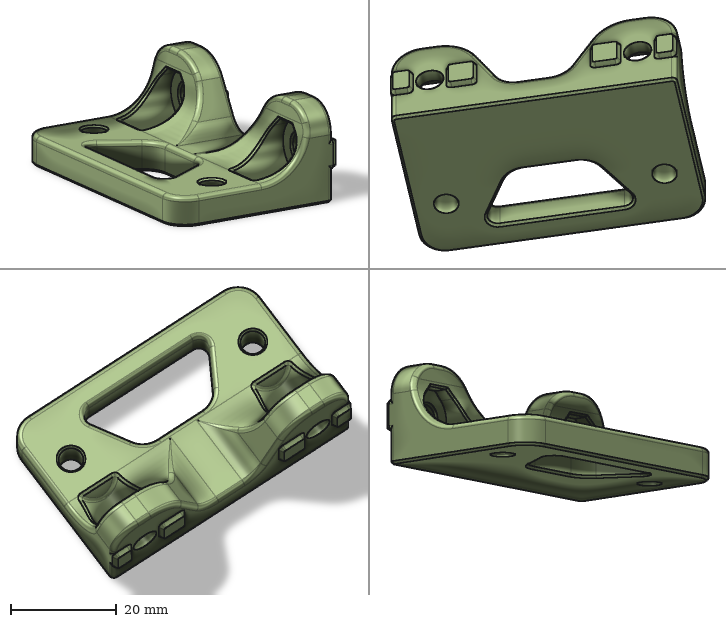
import cadquery as cq
import math

width = 55.0
depth = 35.0
plate_height = 6.0
total_height = 19.5
front_corner_radius = 5.0
edge_radius = 1.0
bottom_chamfer = 0.5
half_width = width / 2

ear_thickness = 6.0
cove_radius = 10.0
ear_front = depth - ear_thickness
cove_start = ear_front - cove_radius
ear_outer_radius = 6.0
ear_inner_radius = 8.5
ear_inner_flat_end = 18.6
valley_half_width = 3.0
valley_radius = 5.0
ear_rounding_end = 3.3
flank_angle = math.radians(60)

ear_hole_x = 20.0
ear_hole_z = 9.5
ear_hole_diameter = 5.3
pocket_radius = 5.5
pocket_floor = 32.0
pocket_ramp_start = 19.25
pocket_ramp_radius = 1.0
rim_chamfer = 0.4

plate_hole_x = 21.0
plate_hole_y = 12.0
plate_hole_diameter = 4.7

window_front = 5.0
window_back = 17.9
window_front_half_flat = 12.0
window_front_radius = 2.0
window_back_radius = 5.0

tab_height = 1.0
tab_taper = 30.0
tab_half_width = 3.08
tab_corner_radius = 1.0
tab_gap = 3.2
inner_tab_end = 9.1
outer_tab_end = half_width - ear_hole_x


def mirrored(half):
    """Join a shape on the -X side with its mirror image on the +X side."""
    return half.union(half.mirror("YZ"))


def side_profile():
    """Plate, concave sweep and upright, extruded over the full width."""
    arc_drop = cove_radius * math.sqrt(0.5)
    cove_middle = (cove_start + arc_drop, plate_height + cove_radius - arc_drop)
    return (
        cq.Workplane("YZ", origin=(-half_width, 0, 0))
        .lineTo(depth, 0)
        .lineTo(depth, total_height)
        .lineTo(ear_front, total_height)
        .lineTo(ear_front, plate_height + cove_radius)
        .threePointArc(cove_middle, (cove_start, plate_height))
        .lineTo(0, plate_height)
        .close()
        .extrude(width)
    )


def half_silhouette():
    """Outline of one ear with half of the valley, extruded over the full depth."""
    sine, cosine = math.sin(flank_angle), math.cos(flank_angle)
    half_sine, half_cosine = math.sin(flank_angle / 2), math.cos(flank_angle / 2)
    outer_center = (-half_width + ear_outer_radius, total_height - ear_outer_radius)
    inner_center = (-ear_inner_flat_end, total_height - ear_inner_radius)
    valley_center = (-valley_half_width, plate_height + valley_radius)

    outer_middle = (
        outer_center[0] - ear_outer_radius * math.sqrt(0.5),
        outer_center[1] + ear_outer_radius * math.sqrt(0.5),
    )
    inner_middle = (
        inner_center[0] + ear_inner_radius * half_sine,
        inner_center[1] + ear_inner_radius * half_cosine,
    )
    flank_top = (
        inner_center[0] + ear_inner_radius * sine,
        inner_center[1] + ear_inner_radius * cosine,
    )
    flank_bottom = (
        valley_center[0] - valley_radius * sine,
        valley_center[1] - valley_radius * cosine,
    )
    valley_middle = (
        valley_center[0] - valley_radius * half_sine,
        valley_center[1] - valley_radius * half_cosine,
    )
    return (
        cq.Workplane("XZ")
        .lineTo(-half_width, 0)
        .lineTo(-half_width, outer_center[1])
        .threePointArc(outer_middle, (outer_center[0], total_height))
        .lineTo(-ear_inner_flat_end, total_height)
        .threePointArc(inner_middle, flank_top)
        .lineTo(*flank_bottom)
        .threePointArc(valley_middle, (-valley_half_width, plate_height))
        .lineTo(0, plate_height)
        .close()
        .extrude(-depth)
    )


def plain_body():
    """Sharp-edged plate and ears, with only the front corners rounded."""
    block = side_profile().intersect(mirrored(half_silhouette())).clean()
    return block.edges("|Z and <Y").fillet(front_corner_radius)


def box_between(low, high):
    """Axis-aligned box between two opposite corners."""
    size = [b - a for a, b in zip(low, high)]
    return cq.Workplane(origin=low).box(*size, centered=False)


def edge_near(x, y, z):
    """Selector for the edge with its middle nearest to a point."""
    return cq.NearestToPointSelector((x, y, z))


def round_front_edges(block):
    """Round the plate rim and the front of the ears.

    The ear rounding fades out where the valley and the sweep run level into the plate,
    so each side is rounded on its own up to there and the strip between is rounded
    along its front only.
    """
    side_box = box_between((-half_width, 0, 0), (-ear_rounding_end, depth, total_height))
    strip_box = box_between((-ear_rounding_end, 0, 0), (ear_rounding_end, depth, total_height))

    side = block.intersect(side_box)
    side = side.edges(edge_near(-half_width, cove_start / 2, plate_height)).fillet(edge_radius)
    strip = block.intersect(strip_box)
    strip = strip.edges(edge_near(0, 0, plate_height)).fillet(edge_radius)
    return mirrored(side).union(strip).clean()


def round_back_edges(block):
    """Round the outline of the back face, except along the bottom."""
    return block.edges(">Y").edges("not <Z").fillet(edge_radius)


def add_window(block):
    """Trapezoidal opening with rounded corners and a rounded top rim."""
    front_half = window_front_half_flat + window_front_radius / math.tan(flank_angle / 2)
    back_half = front_half - (window_back - window_front) / math.tan(flank_angle)
    opening = (
        cq.Workplane()
        .polyline(
            [
                (-front_half, window_front),
                (front_half, window_front),
                (back_half, window_back),
                (-back_half, window_back),
            ]
        )
        .close()
        .extrude(plate_height)
        .edges("|Z and <Y")
        .fillet(window_front_radius)
        .edges("|Z and >Y")
        .fillet(window_back_radius)
    )
    block = block.cut(opening)
    return block.edges(edge_near(0, window_front, plate_height)).fillet(edge_radius)


def chamfered_drill(radius, length):
    """Upright drill from the origin, widened by the rim chamfer at its upper end."""
    return (
        cq.Workplane("XZ")
        .lineTo(radius, 0)
        .lineTo(radius, length - rim_chamfer)
        .lineTo(radius + rim_chamfer, length)
        .lineTo(0, length)
        .close()
        .revolve(360, (0, 0), (0, 1))
    )


def add_plate_holes(block):
    """Two vertical bolt holes, chamfered at the top."""
    for x in (-plate_hole_x, plate_hole_x):
        drill = chamfered_drill(plate_hole_diameter / 2, plate_height)
        block = block.cut(drill.translate((x, plate_hole_y, 0)))
    return block


def cut_left_pocket(block):
    """Cut the teardrop pocket in front of the left ear hole.

    A round bore ends in a 45 degree ramp up to the plate top, and a flat-topped
    roof with 45 degree sides sits on the bore.
    """
    ramp_bottom_y = pocket_ramp_start + plate_height - (ear_hole_z - pocket_radius)
    ramp_top_y = ramp_bottom_y - 2 * pocket_radius
    bore = (
        cq.Workplane("XZ", origin=(-ear_hole_x, pocket_floor, ear_hole_z))
        .circle(pocket_radius)
        .extrude(pocket_floor - ramp_top_y)
    )
    under_ramp = (
        cq.Workplane("YZ", origin=(-half_width, 0, ear_hole_z))
        .moveTo(ramp_bottom_y, -pocket_radius)
        .lineTo(ramp_top_y, pocket_radius)
        .lineTo(ramp_top_y, -pocket_radius)
        .close()
        .extrude(half_width)
    )
    ramp_foot = edge_near(-ear_hole_x, ramp_bottom_y, ear_hole_z - pocket_radius)
    bore = bore.cut(under_ramp).edges(ramp_foot).fillet(pocket_ramp_radius)

    tangent_offset = pocket_radius * math.sqrt(0.5)
    roof_half = pocket_radius * (math.sqrt(2) - 1)
    roof = (
        cq.Workplane("XZ", origin=(-ear_hole_x, pocket_floor, ear_hole_z))
        .lineTo(-tangent_offset, tangent_offset)
        .lineTo(-roof_half, pocket_radius)
        .lineTo(roof_half, pocket_radius)
        .lineTo(tangent_offset, tangent_offset)
        .close()
        .extrude(pocket_floor - cove_start)
    )
    block = block.cut(bore).cut(roof)

    lip_below_center = plate_height + cove_radius - ear_hole_z - pocket_radius
    roof_lip_y = cove_start + math.sqrt(cove_radius**2 - lip_below_center**2)
    ramp_lip = edge_near(-ear_hole_x, pocket_ramp_start, plate_height)
    roof_lip = edge_near(-ear_hole_x, roof_lip_y, ear_hole_z + pocket_radius)
    return block.edges(ramp_lip + roof_lip).chamfer(rim_chamfer)


def add_pockets(block):
    """Pockets in front of both ear holes, made on the left half and mirrored."""
    left_box = box_between((-half_width, 0, 0), (0, depth, total_height))
    return mirrored(cut_left_pocket(block).intersect(left_box)).clean()


def add_ear_holes(block):
    """Bolt holes through the ears, chamfered at the pocket floor."""
    drill = chamfered_drill(ear_hole_diameter / 2, depth - pocket_floor)
    drill = drill.rotate((0, 0, 0), (1, 0, 0), 90)
    for x in (-ear_hole_x, ear_hole_x):
        block = block.cut(drill.translate((x, depth, ear_hole_z)))
    return block


def tab(start, end):
    """Tab with drafted sides, between two X distances from the left ear hole.

    Its straight root reaches into the body, so it also fills the rounded body edge.
    """
    outline = (
        cq.Sketch()
        .rect(end - start, 2 * tab_half_width)
        .vertices()
        .fillet(tab_corner_radius)
    )
    base = cq.Workplane("XZ", origin=(-ear_hole_x + (start + end) / 2, depth, ear_hole_z))
    base = base.placeSketch(outline)
    root = base.extrude(edge_radius)
    return base.extrude(-tab_height, taper=tab_taper).union(root)


def add_tabs(block):
    """Two locating tabs beside each ear hole."""
    tabs = tab(tab_gap, inner_tab_end).union(tab(-outer_tab_end, -tab_gap))
    return block.union(mirrored(tabs))


result = round_front_edges(plain_body())
result = round_back_edges(result)
result = add_window(result)
result = result.faces("<Z").chamfer(bottom_chamfer)
result = add_plate_holes(result)
result = add_pockets(result)
result = add_ear_holes(result)
result = add_tabs(result)